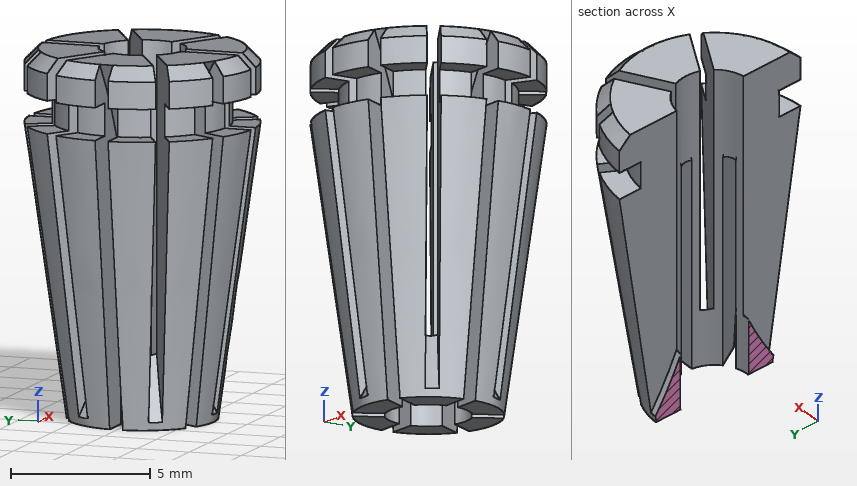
import cadquery as cq
import math

length = 13.5
outer_diameter = 8.5
bore_diameter = 3.17

chamfer = 0.5
head_height = 1.5
neck_length = 1.2
neck_diameter = 6.5

taper_half_angle = 8.0
shank_length = length - head_height - neck_length
taper_slope = math.tan(math.radians(taper_half_angle))
bottom_diameter = outer_diameter - 2 * shank_length * taper_slope

slots_per_set = 6
slot_width = 0.5
slot_pitch = 360 / slots_per_set
upper_floor_inner_z = 2.55
upper_floor_outer_z = 0.3
lower_floor_inner_z = 9.57
lower_floor_top_radius = 3.75
cutter_radius = 15.0
clearance = 0.27

outer_radius = outer_diameter / 2
bore_radius = bore_diameter / 2
neck_radius = neck_diameter / 2
bottom_radius = bottom_diameter / 2


def collet_blank():
    """Revolve the head, neck and tapered shank around the bore."""
    neck_top = length - head_height
    profile = [
        (bore_radius, 0),
        (bottom_radius, 0),
        (outer_radius, shank_length),
        (neck_radius, shank_length),
        (neck_radius, neck_top),
        (outer_radius, neck_top),
        (outer_radius, length - chamfer),
        (outer_radius - chamfer, length),
        (bore_radius, length),
    ]
    return cq.Workplane("XZ").polyline(profile).close().revolve(360, (0, 0), (0, 1))


def slot_cutter(inner_end, outer_end, side):
    """Plate along +X whose curved inner edge is the rim of a disc cutter.

    The rim passes through both ends of the slot floor, given as (radius, height) pairs.
    The cutter lies above the floor for side = 1 and below it for side = -1.
    """
    radial_run = outer_end[0] - inner_end[0]
    rise = outer_end[1] - inner_end[1]
    chord = math.hypot(radial_run, rise)
    offset = side * math.sqrt(cutter_radius**2 - (chord / 2) ** 2)
    centre_x = (inner_end[0] + outer_end[0]) / 2 - offset * rise / chord
    centre_z = (inner_end[1] + outer_end[1]) / 2 + offset * radial_run / chord

    def rim_point(z):
        return centre_x - math.sqrt(cutter_radius**2 - (z - centre_z) ** 2), z

    bottom_z = -clearance
    top_z = length + clearance
    reach = outer_radius + clearance
    plate = (
        cq.Workplane("XZ")
        .moveTo(reach, bottom_z)
        .lineTo(*rim_point(bottom_z))
        .threePointArc(rim_point(length / 2), rim_point(top_z))
        .lineTo(reach, top_z)
        .close()
    )
    return plate.extrude(slot_width / 2, both=True)


upper_floor_outer_radius = bottom_radius + upper_floor_outer_z * taper_slope
upper_slot = slot_cutter(
    (bore_radius, upper_floor_inner_z),
    (upper_floor_outer_radius, upper_floor_outer_z),
    1,
)
lower_slot = slot_cutter(
    (bore_radius, lower_floor_inner_z),
    (lower_floor_top_radius, length),
    -1,
)

result = collet_blank()
for index in range(slots_per_set):
    lower_angle = index * slot_pitch
    upper_angle = lower_angle + slot_pitch / 2
    result = result.cut(lower_slot.rotate((0, 0, 0), (0, 0, 1), lower_angle))
    result = result.cut(upper_slot.rotate((0, 0, 0), (0, 0, 1), upper_angle))